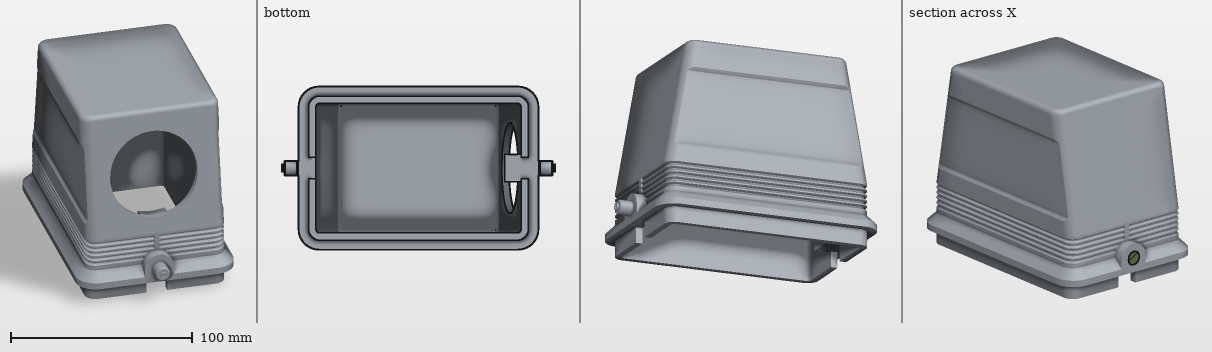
import cadquery as cq
import math

base_length = 121.2
base_width = 79.5
top_length = 95.4
height = 107.0
taper_start = 36.4
corner_radius = 6.2
top_edge_radius = 3.0
wall = 4.0
cavity_top_radius = 1.5

flange_length = 132.3
flange_width = 90.0
flange_bottom = 9.0
flange_edge_top = 12.8
flange_top = 18.0
flange_corner_radius = 11.5

groove_count = 5
groove_pitch = 3.0
lowest_groove_z = 22.0
groove_mouth = 2.3
groove_floor = 0.8
groove_depth = 1.5
groove_bridge_width = 3.0

panel_bottom = 44.7
panel_top = 90.5
panel_depth = 1.4
panel_bevel = 2.0

overall_length = 150.5
pin_z = 17.5
boss_radius = pin_z - flange_bottom
pin_diameter = 8.1
pin_chamfer = 0.6
pin_end_x = 74.0
pin_root_diameter = 8.0
pin_root_length = 0.9
pin_neck_diameter = 3.5
pin_head_diameter = 4.2
pin_head_thickness = 0.6
pin_hole_diameter = 2.3

notch_width = 11.9

entry_diameter = 50.0
entry_z = 70.3
pad_width = 15.2
pad_depth = 9.0
pad_top = 51.2

end_run = (base_length - top_length) / 2
end_rise = height - taper_start
end_angle = math.degrees(math.atan2(end_run, end_rise))


def rounded_block(length, width, radius, bottom, top):
    """Upright block with rounded vertical corners."""
    block = cq.Workplane("XY").workplane(offset=bottom).rect(length, width).extrude(top - bottom)
    return block.edges("|Z").fillet(radius)


def hood(inset, edge_radius, top_radius):
    """Solid hood, every outer face but the bottom moved inward by inset."""
    slant_inset = inset / math.cos(math.radians(end_angle))
    top_z = height - inset
    half_base = base_length / 2 - inset
    half_top = base_length / 2 - slant_inset - end_run * (top_z - taper_start) / end_rise
    shoulder_z = taper_start - (slant_inset - inset) * end_rise / end_run
    width = base_width - 2 * inset
    outline = [
        (-half_base, 0),
        (half_base, 0),
        (half_base, shoulder_z),
        (half_top, top_z),
        (-half_top, top_z),
        (-half_base, shoulder_z),
    ]
    body = cq.Workplane("XZ").polyline(outline).close().extrude(width / 2, both=True)
    body = body.edges("(not |Y) and (not |X)").fillet(edge_radius)
    return body.faces(">Z").edges().fillet(top_radius)


def flange():
    rim = rounded_block(flange_length, flange_width, flange_corner_radius, flange_bottom, flange_edge_top)
    lower = cq.Sketch().rect(flange_length, flange_width).vertices().fillet(flange_corner_radius)
    upper = cq.Sketch().rect(base_length, base_width).vertices().fillet(corner_radius)
    slope = (
        cq.Workplane("XY")
        .placeSketch(
            lower.moved(cq.Location(cq.Vector(0, 0, flange_edge_top))),
            upper.moved(cq.Location(cq.Vector(0, 0, flange_top))),
        )
        .loft(ruled=True)
    )
    return rim.union(slope)


def groove(mid_z):
    """Trapezoidal ring groove, interrupted by a bridge at each end."""
    half_mouth = groove_mouth / 2
    half_floor = groove_floor / 2
    flank_angle = math.degrees(math.atan2(groove_depth, half_mouth - half_floor))
    profile = cq.Sketch().rect(base_length, base_width).vertices().fillet(corner_radius)
    lower_flank = (
        cq.Workplane("XY").workplane(offset=-half_mouth)
        .placeSketch(profile).extrude(half_mouth - half_floor, taper=flank_angle)
    )
    core = (
        rounded_block(
            base_length - 2 * groove_depth,
            base_width - 2 * groove_depth,
            corner_radius - groove_depth,
            -half_floor,
            half_floor,
        )
        .union(lower_flank)
        .union(lower_flank.mirror("XY"))
    )
    bridges = cq.Workplane("XY").box(overall_length, groove_bridge_width, groove_mouth)
    ring = cq.Workplane("XY").box(flange_length, flange_width, groove_mouth)
    return ring.cut(core).cut(bridges).translate((0, 0, mid_z))


def side_panels():
    """Recess cutters along both long sides, with bevelled top and bottom."""
    outer_y = base_width / 2
    floor_y = outer_y - panel_depth
    cutter = (
        cq.Workplane("YZ")
        .polyline([
            (outer_y, panel_bottom),
            (outer_y, panel_top),
            (floor_y, panel_top - panel_bevel),
            (floor_y, panel_bottom + panel_bevel),
        ])
        .close()
        .extrude(base_length / 2, both=True)
    )
    return cutter.union(cutter.mirror("XZ"))


def pin_boss():
    """Arched boss on the +X end, flush with the flange edge."""
    start_x = base_length / 2 - wall
    length = flange_length / 2 - start_x
    plane = cq.Workplane("YZ").workplane(offset=start_x)
    arch = plane.center(0, pin_z).circle(boss_radius).extrude(length)
    leg = plane.center(0, pin_z - boss_radius / 2).rect(2 * boss_radius, boss_radius).extrude(length)
    return arch.union(leg)


def pin():
    """Locking pin on the +X end: relieved root, shank, and a small hollow headed tip."""
    boss_x = flange_length / 2
    root_end_x = boss_x + pin_root_length
    tip_x = overall_length / 2

    def disc(diameter, start_x, end_x):
        plane = cq.Workplane("YZ", origin=(start_x, 0, pin_z))
        return plane.circle(diameter / 2).extrude(end_x - start_x)

    root = disc(pin_root_diameter, boss_x - wall, root_end_x)
    shank = disc(pin_diameter, root_end_x, pin_end_x).faces(">X").chamfer(pin_chamfer)
    neck = disc(pin_neck_diameter, pin_end_x - pin_chamfer, tip_x)
    head = disc(pin_head_diameter, tip_x - pin_head_thickness, tip_x)
    hole = disc(pin_hole_diameter, pin_end_x, tip_x)
    return root.union(shank).union(neck).union(head).cut(hole)


def cable_entry():
    """Cylinder square to the leaning +X end face."""
    face_x = base_length / 2 - end_run * (entry_z - taper_start) / end_rise
    angle = math.radians(end_angle)
    plane = cq.Plane(
        origin=(face_x, 0, entry_z),
        xDir=(0, 1, 0),
        normal=(math.cos(angle), 0, math.sin(angle)),
    )
    return cq.Workplane(plane).circle(entry_diameter / 2).extrude(wall + pad_depth, both=True)


def entry_pad():
    """Pad on the inside of the +X wall, carrying the lower rim of the cable entry."""
    outer_x = base_length / 2 - wall / 2
    length = pad_depth + wall / 2
    return cq.Workplane("XY").box(length, pad_width, pad_top - flange_bottom).translate(
        (outer_x - length / 2, 0, (pad_top + flange_bottom) / 2)
    )


body = hood(0, corner_radius, top_edge_radius).union(flange())
for index in range(groove_count):
    body = body.cut(groove(lowest_groove_z + index * groove_pitch))
body = body.cut(side_panels())

end_fittings = pin_boss().union(pin())
body = body.union(end_fittings).union(end_fittings.mirror("YZ"))

cavity = hood(wall, corner_radius - wall, cavity_top_radius)
body = body.cut(cavity)
body = body.union(entry_pad()).cut(cable_entry())

notch = cq.Workplane("XY").box(overall_length, notch_width, flange_bottom, centered=(True, True, False))
result = body.cut(notch)